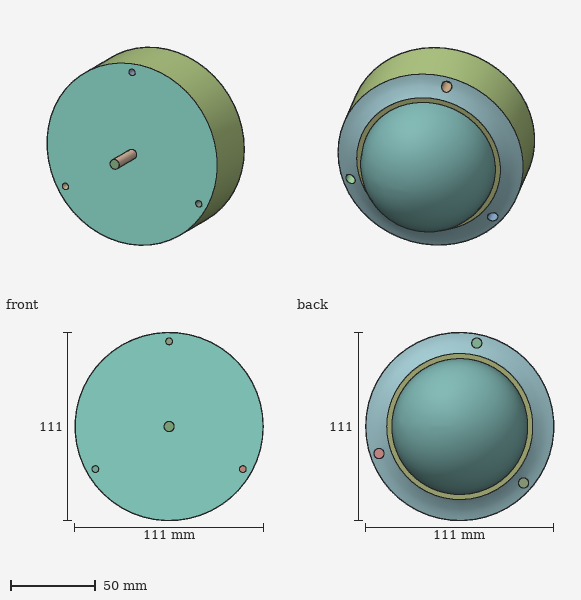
import cadquery as cq
import math

body_radius = 55.5
body_depth = 37.5

shoulder_depth = 6.4
shoulder_inner_radius = 43.1
shoulder_arc_radius = 25.0

dome_radius = 40.1
shaft_diameter = 6.0
shaft_length = 24.0

hole_count = 3
bolt_circle_radius = 50.2
front_hole_diameter = 4.0
front_hole_depth = 10.0
front_hole_angle = 90.0
rear_hole_diameter = 6.0
rear_hole_depth = 10.0
rear_hole_angle = 101.5

shoulder_end = body_depth + shoulder_depth
dome_tip = shoulder_end + dome_radius


def concave_midpoint(start, end, radius):
    """Middle point of the arc that sags toward the axis and the body."""
    run = end[0] - start[0]
    rise = end[1] - start[1]
    chord = math.hypot(run, rise)
    sag = radius - math.sqrt(radius**2 - (chord / 2) ** 2)
    middle_x = (start[0] + end[0]) / 2 - sag * rise / chord
    middle_y = (start[1] + end[1]) / 2 + sag * run / chord
    return (middle_x, middle_y)


def turned_housing():
    """Shaft, body, shoulder and dome as one half profile turned about Y."""
    rim = (body_radius, body_depth)
    shoulder_edge = (shoulder_inner_radius, shoulder_end)
    dome_middle = (
        dome_radius * math.cos(math.pi / 4),
        shoulder_end + dome_radius * math.sin(math.pi / 4),
    )
    profile = (
        cq.Workplane("XY")
        .moveTo(0, -shaft_length)
        .lineTo(shaft_diameter / 2, -shaft_length)
        .lineTo(shaft_diameter / 2, 0)
        .lineTo(body_radius, 0)
        .lineTo(*rim)
        .threePointArc(concave_midpoint(rim, shoulder_edge, shoulder_arc_radius), shoulder_edge)
        .lineTo(dome_radius, shoulder_end)
        .threePointArc(dome_middle, (0, dome_tip))
        .close()
    )
    return profile.revolve(360, (0, 0, 0), (0, 1, 0))


def hole_ring(diameter, first_angle, start_y, end_y):
    """Cylinders along Y on the bolt circle; angles run from +X toward +Z."""
    ring = cq.Workplane("XY")
    for index in range(hole_count):
        angle = math.radians(first_angle + index * 360 / hole_count)
        center = cq.Vector(
            bolt_circle_radius * math.cos(angle),
            start_y,
            bolt_circle_radius * math.sin(angle),
        )
        hole = cq.Solid.makeCylinder(diameter / 2, end_y - start_y, center, cq.Vector(0, 1, 0))
        ring = ring.add(hole)
    return ring.combine()


front_holes = hole_ring(front_hole_diameter, front_hole_angle, 0, front_hole_depth)

rear_holes = hole_ring(rear_hole_diameter, rear_hole_angle, body_depth - rear_hole_depth, shoulder_end)

result = turned_housing().cut(front_holes).cut(rear_holes)